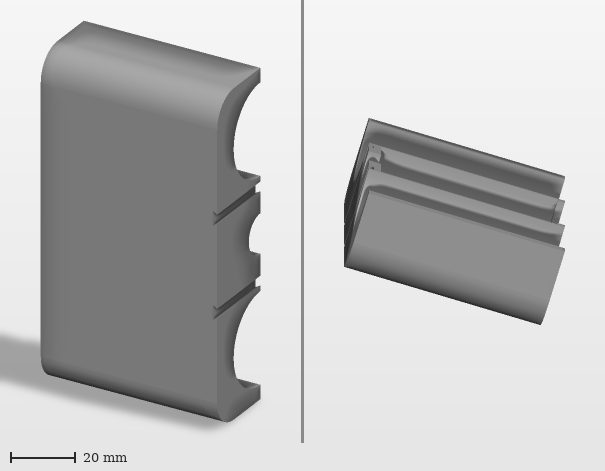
import cadquery as cq

length = 63.3
depth = 26.2
height = 114.8
corner_radius = 10.0

channel_spacing = 36.2
side_radius = 16.2
lip_radius = 17.1
pocket_radius = 18.9
end_hole_radius = 7.0
lip_thickness = 2.3
end_wall = 4.0

slot_spacing = 32.6
slot_depth = 1.7
slot_floor_width = 5.4
slot_mouth_width = 3.3

left_end = -length / 2
right_end = length / 2
open_face = depth / 2


def channel(radius, z, start, end):
    """Cylinder along X with its axis lying in the open face."""
    return (
        cq.Workplane("YZ", origin=(start, open_face, z))
        .circle(radius)
        .extrude(end - start)
    )


def dovetail_slot(z):
    """Dovetail along Y, wider at its floor than at the end face."""
    floor_x = right_end - slot_depth
    return (
        cq.Workplane("XZ")
        .polyline([
            (right_end, z - slot_mouth_width / 2),
            (floor_x, z - slot_floor_width / 2),
            (floor_x, z + slot_floor_width / 2),
            (right_end, z + slot_mouth_width / 2),
        ])
        .close()
        .extrude(depth, both=True)
    )


result = (
    cq.Workplane("XY")
    .box(length, depth, height)
    .faces("<Y")
    .edges("|X")
    .fillet(corner_radius)
)

for side in (-1, 1):
    result = result.cut(channel(side_radius, side * channel_spacing, left_end, right_end))
    result = result.cut(dovetail_slot(side * slot_spacing / 2))

pocket_start = left_end + lip_thickness
pocket_end = right_end - end_wall
result = result.cut(channel(lip_radius, 0, left_end, pocket_start))
result = result.cut(channel(pocket_radius, 0, pocket_start, pocket_end))
result = result.cut(channel(end_hole_radius, 0, pocket_end, right_end))